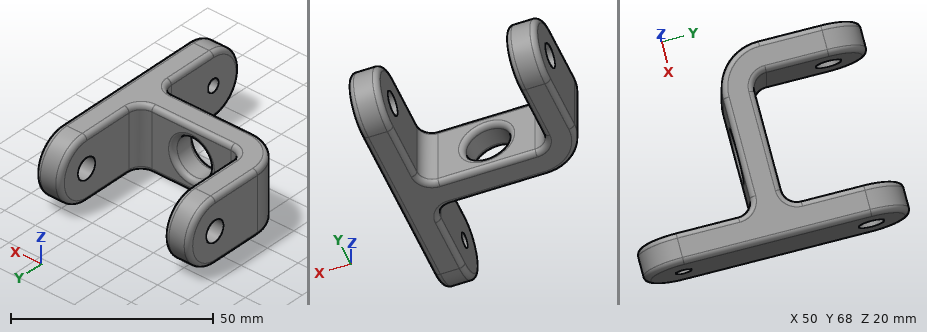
import cadquery as cq

width = 50.0
length = 68.0
height = 20.0
wall = 8.0
inner_radius = 4.0
edge_radius = 1.5
arm_hole_diameter = 6.5
foot_hole_diameter = 4.0
web_hole_diameter = 12.0

end_radius = height / 2
end_center_y = length / 2 - end_radius
bend_radius = inner_radius + wall
half_width = width / 2
half_wall = wall / 2


def plate(x_min, x_max, y_min, y_max):
    """Full-height block, centred on the XY plane."""
    return cq.Workplane("XY").box(x_max - x_min, y_max - y_min, height).translate(
        ((x_min + x_max) / 2, (y_min + y_max) / 2, 0)
    )


def cross_hole(x_start, depth, y, diameter):
    """Cylinder running along +X at mid height."""
    return cq.Workplane("YZ", origin=(x_start, y, 0)).circle(diameter / 2).extrude(depth)


flange = plate(half_width - wall, half_width, -length / 2, length / 2)
arm = plate(-half_width, wall - half_width, -half_wall, length / 2)
web = plate(-half_width, half_width, -half_wall, half_wall)
body = flange.union(arm).union(web)

body = body.edges(cq.selectors.NearestToPointSelector((-half_width, -half_wall, 0))).fillet(bend_radius)
for x, y in (
    (wall - half_width, half_wall),
    (half_width - wall, half_wall),
    (half_width - wall, -half_wall),
):
    body = body.edges(cq.selectors.NearestToPointSelector((x, y, 0))).fillet(inner_radius)

side_outline = cq.Workplane("YZ", origin=(-half_width, 0, 0)).slot2D(length, height).extrude(width)
body = body.intersect(side_outline)

body = body.edges("|Y").fillet(edge_radius)

web_hole = cq.Workplane("XZ", origin=(0, half_wall, 0)).circle(web_hole_diameter / 2).extrude(wall)
body = body.cut(web_hole)
mouth_reach = web_hole_diameter / 2 + edge_radius
mouth_box = cq.selectors.BoxSelector(
    (-mouth_reach, -wall, -mouth_reach), (mouth_reach, wall, mouth_reach), boundingbox=True
)
body = body.edges(mouth_box).edges("%CIRCLE").fillet(edge_radius)

body = body.cut(cross_hole(-half_width, width, end_center_y, arm_hole_diameter))
body = body.cut(cross_hole(half_width - wall, wall, -end_center_y, foot_hole_diameter))

result = body